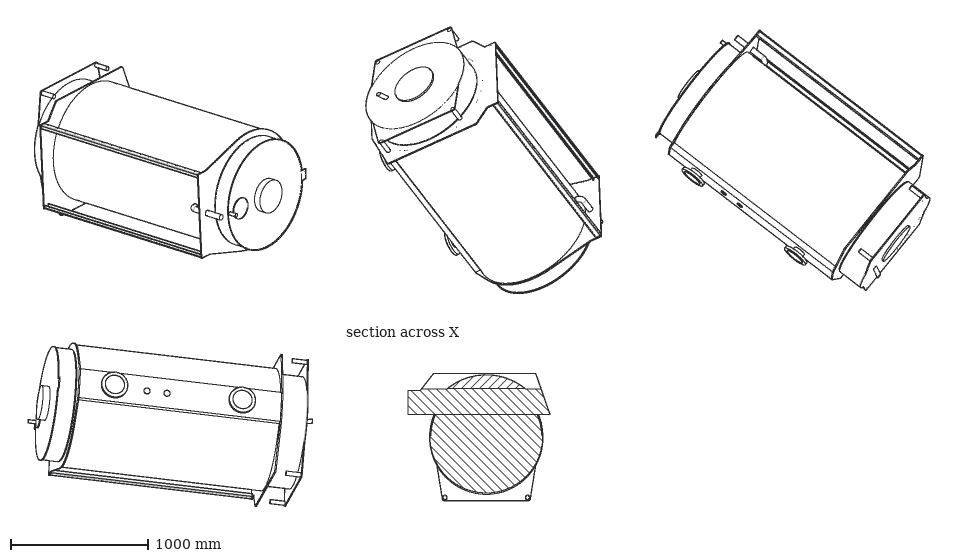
import cadquery as cq
import math

TILT_ANGLE = 3.0

PLATE_THICKNESS = 10.0
PLATES_LENGTH = 1516.0
BARREL_DIAMETER = 900.0
BARREL_START = PLATE_THICKNESS
BARREL_END = PLATES_LENGTH - PLATE_THICKNESS
BARREL_LENGTH = BARREL_END - BARREL_START

PLATE_FRONT = -570.0
PLATE_BACK = 482.0
PLATE_HALF_HEIGHT = 460.0
FRONT_EDGE_HALF = 335.0
BACK_EDGE_HALF = 113.0
FRONT_SHOULDER = -482.0
LEFT_TOP_FRONT = -385.0
LEFT_TOP_BACK = 360.0
CORNER_RADIUS = 15.0

NOZZLE_POSITIONS = (307.0, 1256.0)
NOZZLE_DIAMETER = 90.0
FLANGE_DIAMETER = 195.0
FLANGE_START = 517.0
FLANGE_THICKNESS = 20.0
FACE_DIAMETER = 143.0
FACE_HEIGHT = 4.0
BOSS_POSITIONS = (858.0, 1007.0)
BOSS_DIAMETER = 45.0
BOSS_HEIGHT = 5.0

PIPE_DIAMETER = 42.0
PIPE_Y = -492.0
PIPE_BEND_RADIUS = 34.0
PIPE_ELBOW_END = 1405.0
PIPE_END = 1650.0
PIPE_ROOT_DEPTH = 20.0

RAIL_WIDTH = 48.0
RAIL_HEIGHT = 28.0
RAIL_WALL = 8.0
RAIL_BEND_RADIUS = 8.0

DRUM_DIAMETER = 826.0
NECK_DIAMETER = 810.0
NECK_LENGTH = 8.0
HEAD_PLATE_THICKNESS = 8.0

LEFT_HEAD_LENGTH = 202.0
HEAD_PLATE_HALF_WIDTH = 320.0
HEAD_PLATE_SIDE_Y = 360.0
ROD_DIAMETER = 32.0
ROD_LENGTH = 117.0
ROD_Y = 301.0
ROD_Z = 440.0
COVER_DIAMETER = 320.0
COVER_THICKNESS = 14.0
STUB_DIAMETER = 32.0
STUB_LENGTH = 61.0
STUB_BASE_Y = 240.0
STUB_TIP_Y = 270.0

RIGHT_HEAD_LENGTH = 143.0
DOOR_DIAMETER = 838.0
LUG_REACH = 455.0
LUG_WIDTH = 80.0
BURNER_BOSS_DIAMETER = 250.0
BURNER_BOSS_LENGTH = 52.0
SIGHT_COVER_DIAMETER = 160.0
SIGHT_COVER_THICKNESS = 8.0
SIGHT_COVER_Y = -287.0
PIN_DIAMETER = 25.0
PIN_LENGTH = 60.0
PIN_Y = -400.0


def across(x):
    """Workplane square to the barrel axis at X = x; its axes are Y and Z."""
    return cq.Workplane("YZ", origin=(x, 0, 0))


def disc(x, diameter, length, y=0.0, z=0.0):
    """Cylinder along +X that starts at X = x."""
    return across(x).center(y, z).circle(diameter / 2).extrude(length)


def back_cylinder(x, y, diameter, length):
    """Cylinder along +Y that starts at (x, y) on the axis level."""
    plane = cq.Plane(origin=(x, y, 0), xDir=(1, 0, 0), normal=(0, 1, 0))
    return cq.Workplane(plane).circle(diameter / 2).extrude(length)


def drain_pipe():
    barrel_root = PIPE_Y + PIPE_BEND_RADIUS + PIPE_ROOT_DEPTH
    elbow_start = PIPE_ELBOW_END - PIPE_BEND_RADIUS
    diagonal = PIPE_BEND_RADIUS * (1 - math.sqrt(0.5))
    path = (
        cq.Workplane("XY")
        .moveTo(elbow_start, barrel_root)
        .lineTo(elbow_start, PIPE_Y + PIPE_BEND_RADIUS)
        .threePointArc((elbow_start + diagonal, PIPE_Y + diagonal), (PIPE_ELBOW_END, PIPE_Y))
        .lineTo(PIPE_END, PIPE_Y)
    )
    section = cq.Workplane("XZ", origin=(elbow_start, barrel_root, 0)).circle(PIPE_DIAMETER / 2)
    return section.sweep(path)


def make_barrel():
    barrel = disc(BARREL_START, BARREL_DIAMETER, BARREL_LENGTH)
    back_box = across(BARREL_START).center(PLATE_BACK / 2, 0).rect(PLATE_BACK, 2 * BACK_EDGE_HALF)
    barrel = barrel.union(back_box.extrude(BARREL_LENGTH))
    for x in NOZZLE_POSITIONS:
        flange_end = FLANGE_START + FLANGE_THICKNESS
        barrel = barrel.union(back_cylinder(x, 0, NOZZLE_DIAMETER, FLANGE_START))
        barrel = barrel.union(back_cylinder(x, FLANGE_START, FLANGE_DIAMETER, FLANGE_THICKNESS))
        barrel = barrel.union(back_cylinder(x, flange_end, FACE_DIAMETER, FACE_HEIGHT))
    for x in BOSS_POSITIONS:
        barrel = barrel.union(back_cylinder(x, 0, BOSS_DIAMETER, PLATE_BACK + BOSS_HEIGHT))
    return barrel.union(drain_pipe())


def make_left_plate():
    upper = [
        (PLATE_FRONT, FRONT_EDGE_HALF),
        (FRONT_SHOULDER, FRONT_EDGE_HALF),
        (LEFT_TOP_FRONT, PLATE_HALF_HEIGHT),
        (LEFT_TOP_BACK, PLATE_HALF_HEIGHT),
        (PLATE_BACK, BACK_EDGE_HALF),
    ]
    lower = [(y, -z) for y, z in reversed(upper)]
    plate = across(0).polyline(upper + lower).close().extrude(PLATE_THICKNESS)
    return plate.edges("|X").edges(">Z or <Z").fillet(CORNER_RADIUS)


def tangent_point(y, z, radius, turn):
    """Point where a line from (y, z) touches the circle about the axis."""
    angle = math.atan2(z, y) + turn * math.acos(radius / math.hypot(y, z))
    return radius * math.cos(angle), radius * math.sin(angle)


def make_right_plate():
    radius = PLATE_HALF_HEIGHT
    front_y, front_z = tangent_point(FRONT_SHOULDER, FRONT_EDGE_HALF, radius, -1)
    back_y, back_z = tangent_point(PLATE_BACK, BACK_EDGE_HALF, radius, 1)
    plate = (
        across(BARREL_END)
        .moveTo(PLATE_FRONT, FRONT_EDGE_HALF)
        .lineTo(FRONT_SHOULDER, FRONT_EDGE_HALF)
        .lineTo(front_y, front_z)
        .threePointArc((0, radius), (back_y, back_z))
        .lineTo(PLATE_BACK, BACK_EDGE_HALF)
        .lineTo(PLATE_BACK, -BACK_EDGE_HALF)
        .lineTo(back_y, -back_z)
        .threePointArc((0, -radius), (front_y, -front_z))
        .lineTo(FRONT_SHOULDER, -FRONT_EDGE_HALF)
        .lineTo(PLATE_FRONT, -FRONT_EDGE_HALF)
        .close()
        .extrude(PLATE_THICKNESS)
    )
    return plate.cut(disc(BARREL_END, PIPE_DIAMETER, PLATE_THICKNESS, PIPE_Y))


def make_rail(side):
    """Rail between the plates; side is 1 for the upper rail and -1 for the lower one."""
    rail_y = PLATE_FRONT + RAIL_WIDTH / 2
    web_z = side * FRONT_EDGE_HALF
    rail = (
        across(BARREL_START)
        .center(rail_y, web_z - side * RAIL_HEIGHT / 2)
        .rect(RAIL_WIDTH, RAIL_HEIGHT)
        .extrude(BARREL_LENGTH)
        .edges("|X")
        .edges(">Z" if side > 0 else "<Z")
        .fillet(RAIL_BEND_RADIUS)
    )
    groove = (
        across(BARREL_START)
        .center(rail_y, web_z - side * (RAIL_WALL + RAIL_HEIGHT / 2))
        .rect(RAIL_WIDTH - 2 * RAIL_WALL, RAIL_HEIGHT)
        .extrude(BARREL_LENGTH)
    )
    return rail.cut(groove)


def make_stub(outer_face):
    """Slanted stub of the left head, with its tip cut parallel to the head plate."""
    slope = (STUB_TIP_Y - STUB_BASE_Y) / STUB_LENGTH
    plane = cq.Plane(
        origin=(outer_face + STUB_LENGTH, STUB_BASE_Y - slope * STUB_LENGTH, 0),
        xDir=(0, 0, 1),
        normal=(-1, slope, 0),
    )
    bar = cq.Workplane(plane).circle(STUB_DIAMETER / 2).extrude(4 * STUB_LENGTH)
    keep = disc(outer_face - STUB_LENGTH, DRUM_DIAMETER, STUB_LENGTH + HEAD_PLATE_THICKNESS)
    return bar.intersect(keep)


def make_left_head():
    outer_face = -LEFT_HEAD_LENGTH
    drum_radius = DRUM_DIAMETER / 2
    side_z = math.sqrt(drum_radius**2 - HEAD_PLATE_SIDE_Y**2)
    plate = (
        across(outer_face)
        .moveTo(-HEAD_PLATE_HALF_WIDTH, PLATE_HALF_HEIGHT)
        .lineTo(HEAD_PLATE_HALF_WIDTH, PLATE_HALF_HEIGHT)
        .lineTo(HEAD_PLATE_SIDE_Y, side_z)
        .threePointArc((drum_radius, 0), (HEAD_PLATE_SIDE_Y, -side_z))
        .lineTo(HEAD_PLATE_HALF_WIDTH, -PLATE_HALF_HEIGHT)
        .lineTo(-HEAD_PLATE_HALF_WIDTH, -PLATE_HALF_HEIGHT)
        .lineTo(-HEAD_PLATE_SIDE_Y, -side_z)
        .threePointArc((-drum_radius, 0), (-HEAD_PLATE_SIDE_Y, side_z))
        .close()
        .extrude(HEAD_PLATE_THICKNESS)
        .edges("|X")
        .edges(">Z or <Z")
        .fillet(CORNER_RADIUS)
    )
    drum_length = LEFT_HEAD_LENGTH - NECK_LENGTH - HEAD_PLATE_THICKNESS
    drum = disc(outer_face + HEAD_PLATE_THICKNESS, DRUM_DIAMETER, drum_length)
    neck = disc(-NECK_LENGTH, NECK_DIAMETER, NECK_LENGTH)
    cover = disc(outer_face - COVER_THICKNESS, COVER_DIAMETER, COVER_THICKNESS)
    head = plate.union(drum).union(neck).union(cover).union(make_stub(outer_face))
    for y in (-ROD_Y, ROD_Y):
        for z in (-ROD_Z, ROD_Z):
            head = head.union(disc(outer_face, ROD_DIAMETER, ROD_LENGTH, y, z))
    return head


def make_right_head():
    outer_face = PLATES_LENGTH + RIGHT_HEAD_LENGTH
    door_start = outer_face - HEAD_PLATE_THICKNESS
    neck = disc(PLATES_LENGTH, NECK_DIAMETER, NECK_LENGTH)
    drum = disc(PLATES_LENGTH + NECK_LENGTH, DRUM_DIAMETER, RIGHT_HEAD_LENGTH - NECK_LENGTH)
    door = disc(door_start, DOOR_DIAMETER, HEAD_PLATE_THICKNESS)
    lug = across(door_start).center(LUG_REACH / 2, 0).rect(LUG_REACH, LUG_WIDTH)
    head = neck.union(drum).union(door).union(lug.extrude(HEAD_PLATE_THICKNESS))
    head = head.union(disc(outer_face, BURNER_BOSS_DIAMETER, BURNER_BOSS_LENGTH))
    head = head.union(disc(outer_face, SIGHT_COVER_DIAMETER, SIGHT_COVER_THICKNESS, SIGHT_COVER_Y))
    return head.union(disc(outer_face, PIN_DIAMETER, PIN_LENGTH, PIN_Y))


def tilted(body):
    """The solid of a level body, turned about Y so that its right end rises."""
    return body.rotate((0, 0, 0), (0, 1, 0), -TILT_ANGLE).val()


barrel = tilted(make_barrel())
left_plate = tilted(make_left_plate())
right_plate = tilted(make_right_plate())
left_head = tilted(make_left_head())
right_head = tilted(make_right_head())
rails = [tilted(make_rail(side)) for side in (1, -1)]

result = cq.Compound.makeCompound([barrel, left_plate, right_plate, left_head, right_head, *rails])